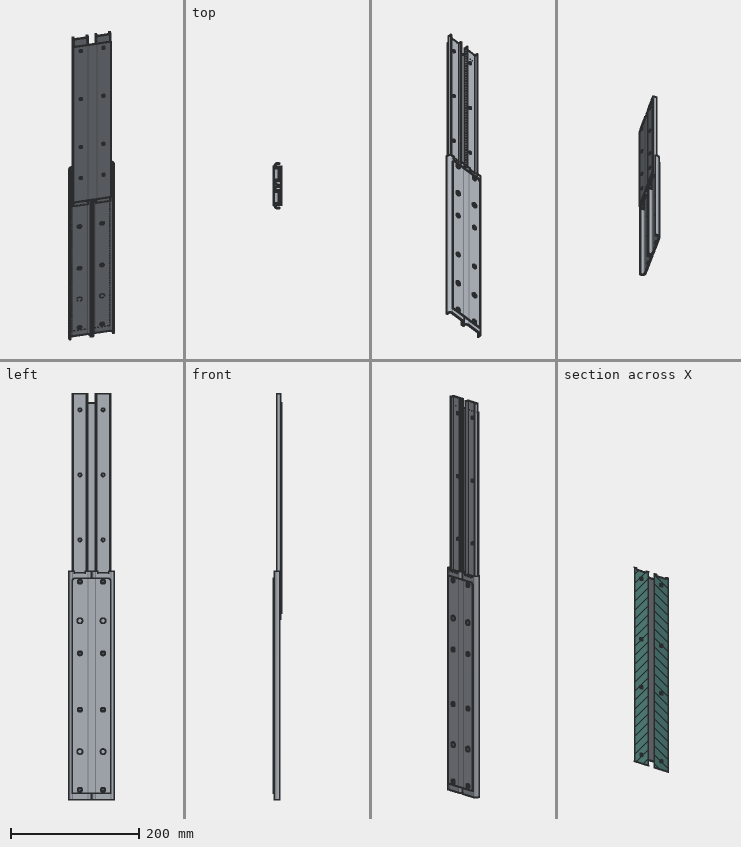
import cadquery as cq
import math

total_depth = 12.5
total_width = 71.5
total_height = 633.0
plate_thickness = 1.0
sheet_thickness = 2.0

outer_width = 35.5
outer_length = 356.5
outer_curl_radius = 6.0
outer_curl_overrun = 31.0
rail_pitch = total_width - outer_width
rail_centres = (-rail_pitch / 2, rail_pitch / 2)

lip_width = 17.0
notch_depth = 2.5
lip_reach = 7.0

inner_width = 24.0
inner_length = 351.0
inner_depth = 6.5
inner_corner_radius = 1.0
inner_bottom = total_height - inner_length
inner_back = total_depth - plate_thickness

plate_width = rail_pitch + inner_width
base_plate_bottom = 10.0
base_plate_top = 345.5
base_plate_corner = 3.0
carrier_plate_bottom = 290.5
carrier_plate_top = 618.5

screw_diameter = 4.5
head_clearance_diameter = 7.0
access_diameter = 8.0
base_screw_heights = (16.0, 140.5, 228.5, 340.0)
access_heights = (75.5, 279.0)
slider_screw_heights = (base_screw_heights[-1], 405.0, 506.5, 607.5)


def block(x_start, depth, width, bottom, top):
    """Rectangular block centred on Y, from one X face and between two heights."""
    box = cq.Workplane("XY").box(depth, width, top - bottom, centered=(False, True, False))
    return box.translate((x_start, 0, bottom))


def cylinders_along_x(diameter, y_positions, heights):
    """Cylinders through the whole depth, one at every pair of Y position and height."""
    points = [(y, z) for y in y_positions for z in heights]
    return cq.Workplane("YZ").pushPoints(points).circle(diameter / 2).extrude(total_depth)


def curled_section(web_x, radius, half_width):
    """Points along one face of the fixed rail's sheet: web, then the curl on the +Y side."""
    centre_x = web_x + radius
    centre_y = half_width - radius
    overrun = math.radians(outer_curl_overrun)
    mid_angle = (overrun - math.pi / 2) / 2
    start = (web_x, centre_y)
    middle = (centre_x + radius * math.sin(mid_angle), centre_y + radius * math.cos(mid_angle))
    end = (centre_x + radius * math.sin(overrun), centre_y + radius * math.cos(overrun))
    return start, middle, end


def mirrored(point):
    return point[0], -point[1]


def make_outer_rail(y_centre):
    web_x = plate_thickness
    half_width = outer_width / 2
    start, middle, end = curled_section(web_x, outer_curl_radius, half_width)
    inner_start, inner_middle, inner_end = curled_section(
        web_x + sheet_thickness, outer_curl_radius - sheet_thickness, half_width - sheet_thickness
    )
    rail = (
        cq.Workplane("XY")
        .moveTo(*mirrored(start))
        .lineTo(*start)
        .threePointArc(middle, end)
        .lineTo(*inner_end)
        .threePointArc(inner_middle, inner_start)
        .lineTo(*mirrored(inner_start))
        .threePointArc(mirrored(inner_middle), mirrored(inner_end))
        .lineTo(*mirrored(end))
        .threePointArc(mirrored(middle), mirrored(start))
        .close()
        .extrude(outer_length)
    )
    rail = rail.cut(cylinders_along_x(screw_diameter, (0,), base_screw_heights))
    notch_floor = outer_length - notch_depth
    notch = block(web_x, sheet_thickness, lip_width, notch_floor, outer_length)
    lip = block(web_x, lip_reach, lip_width, notch_floor - sheet_thickness, notch_floor)
    return rail.cut(notch).union(lip).translate((0, y_centre, 0))


def make_inner_rail(y_centre):
    front = inner_back - inner_depth
    outside = block(front, inner_depth, inner_width, inner_bottom, total_height)
    outside = outside.edges(">X and |Z").fillet(inner_corner_radius)
    inside_width = inner_width - 2 * sheet_thickness
    inside = block(front, inner_depth - sheet_thickness, inside_width, inner_bottom, total_height)
    holes = cylinders_along_x(screw_diameter, (0,), slider_screw_heights)
    return outside.cut(inside).cut(holes).translate((0, y_centre, 0))


def make_base_plate():
    plate = block(0, plate_thickness, plate_width, base_plate_bottom, base_plate_top)
    plate = plate.edges("|X and >Z").chamfer(base_plate_corner)
    plate = plate.cut(cylinders_along_x(head_clearance_diameter, rail_centres, base_screw_heights))
    return plate.cut(cylinders_along_x(access_diameter, rail_centres, access_heights))


def make_carrier_plate():
    plate = block(inner_back, plate_thickness, plate_width, carrier_plate_bottom, carrier_plate_top)
    return plate.cut(cylinders_along_x(screw_diameter, rail_centres, slider_screw_heights))


outer_rails = [make_outer_rail(y) for y in rail_centres]
inner_rails = [make_inner_rail(y) for y in rail_centres]
base_plate = make_base_plate()
carrier_plate = make_carrier_plate()

bodies = [*outer_rails, *inner_rails, base_plate, carrier_plate]
result = cq.Compound.makeCompound([body.val() for body in bodies])